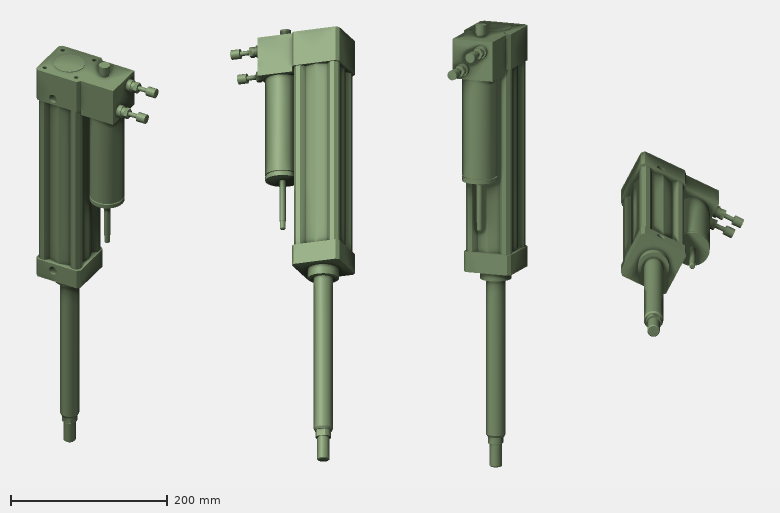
import cadquery as cq
import math


SQUARE = 65.0
CORNER_CHAMFER = 4.0
HEAD_HEIGHT = 46.0
CAP_TOP = -290.0
CAP_HEIGHT = 26.5
CAP_BOTTOM = CAP_TOP - CAP_HEIGHT

DISC_DIAMETER = 40.0
DISC_HEIGHT = 1.0
SCREW_DIAMETER = 6.0
SCREW_SPACING = 46.5
SCREW_DEPTH = 15.0
PORT_DIAMETER = 11.5
PORT_DEPTH = 12.0
DRILL_POINT_ANGLE = 118.0
PORT_X = -6.0
PORT_EDGE_DISTANCE = 9.0
CAP_PORT_DROP = 10.5

TUBE_HALF = 30.5
TUBE_CHAMFER = 4.5
GROOVE_OUTER = 20.5
GROOVE_DEPTH = 5.8
RIDGE_RISE = 4.0

BLOCK_WIDTH = 55.0
BLOCK_HEIGHT = 52.0
BLOCK_END = 80.0

MOTOR_X = 55.5
KNOB_X = 51.5
KNOB_DIAMETER = 14.0
KNOB_TOP = 15.0
KNOB_NECK_DIAMETER = 12.0
KNOB_NECK_HEIGHT = 4.2

MOTOR_DIAMETER = 45.0
MOTOR_BOTTOM = -189.0
MOTOR_GROOVE_DIAMETER = 41.0
MOTOR_GROOVE_TOP = -182.0
MOTOR_END_HEIGHT = 5.5
SHAFT_DIAMETER = 8.0
SHAFT_TIP_DIAMETER = 7.5
SHAFT_TIP_LENGTH = 11.0
SHAFT_BOTTOM = -255.0
SHAFT_CHAMFER = 1.0

BOSS_DIAMETER = 40.0
BOSS_HEIGHT = 12.5
BOSS_BOTTOM = CAP_BOTTOM - BOSS_HEIGHT
ROD_DIAMETER = 25.0
ROD_SHOULDER = -536.5
ROD_CHAMFER_DIAMETER = 22.0
ROD_CHAMFER_HEIGHT = 3.0
WRENCH_DIAMETER = 20.0
WRENCH_FLATS = 17.0
WRENCH_BOTTOM = -545.5
NECK_DIAMETER = 14.5
NECK_HEIGHT = 1.5
THREAD_DIAMETER = 16.0
THREAD_BOTTOM = -576.0
THREAD_CHAMFER = 1.0

CONNECTOR_OFFSET = 12.5
COLLAR_DIAMETER = 16.0
COLLAR_LENGTH = 6.0
SLEEVE_DIAMETER = 13.0
SLEEVE_LENGTH = 4.5
NUT_CORNERS = 14.5
NUT_LENGTH = 4.5
CABLE_DIAMETER = 6.0
PLUG_DIAMETER = 12.5
PLUG_LENGTH = 12.0
CONNECTOR_END = 120.5


def cylinder(x, diameter, z_top, z_bottom):
    """Vertical cylinder on the plane Y = 0."""
    return (
        cq.Workplane("XY", origin=(x, 0, z_bottom))
        .circle(diameter / 2)
        .extrude(z_top - z_bottom)
    )


def square_block(z_top, height):
    """Square block on the piston axis with chamfered vertical corners."""
    return (
        cq.Workplane("XY", origin=(0, 0, z_top - height))
        .rect(SQUARE, SQUARE)
        .extrude(height)
        .edges("|Z")
        .chamfer(CORNER_CHAMFER)
    )


def tube():
    """Profiled tube: each side has two V grooves around a shallow ridge."""
    flat_end = TUBE_HALF - TUBE_CHAMFER
    groove_bottom = GROOVE_OUTER - GROOVE_DEPTH
    floor = TUBE_HALF - GROOVE_DEPTH
    side = [
        (-flat_end, -TUBE_HALF),
        (-GROOVE_OUTER, -TUBE_HALF),
        (-groove_bottom, -floor),
        (0, -floor - RIDGE_RISE),
        (groove_bottom, -floor),
        (GROOVE_OUTER, -TUBE_HALF),
        (flat_end, -TUBE_HALF),
    ]
    outline = []
    for turn in range(4):
        c = round(math.cos(turn * math.pi / 2))
        s = round(math.sin(turn * math.pi / 2))
        outline += [(x * c - y * s, x * s + y * c) for x, y in side]
    length = -HEAD_HEIGHT - CAP_TOP
    return cq.Workplane("XY", origin=(0, 0, CAP_TOP)).polyline(outline).close().extrude(length)


def gear_block():
    """Block beside the head, with its top flush with the head."""
    start = SQUARE / 2
    length = BLOCK_END - start
    return (
        cq.Workplane("XY", origin=(start + length / 2, 0, -BLOCK_HEIGHT))
        .rect(length, BLOCK_WIDTH)
        .extrude(BLOCK_HEIGHT)
    )


def knob():
    neck = cylinder(KNOB_X, KNOB_NECK_DIAMETER, KNOB_NECK_HEIGHT, 0)
    return neck.union(cylinder(KNOB_X, KNOB_DIAMETER, KNOB_TOP, KNOB_NECK_HEIGHT))


def motor():
    """Motor can with a grooved lower end and a thin shaft."""
    end_top = MOTOR_BOTTOM + MOTOR_END_HEIGHT
    can = cylinder(MOTOR_X, MOTOR_DIAMETER, -BLOCK_HEIGHT, MOTOR_GROOVE_TOP)
    groove = cylinder(MOTOR_X, MOTOR_GROOVE_DIAMETER, MOTOR_GROOVE_TOP, end_top)
    end_ring = cylinder(MOTOR_X, MOTOR_DIAMETER, end_top, MOTOR_BOTTOM)
    tip_top = SHAFT_BOTTOM + SHAFT_TIP_LENGTH
    shaft = cylinder(MOTOR_X, SHAFT_DIAMETER, MOTOR_BOTTOM, tip_top)
    tip = cylinder(MOTOR_X, SHAFT_TIP_DIAMETER, tip_top, SHAFT_BOTTOM)
    tip = tip.faces("<Z").chamfer(SHAFT_CHAMFER)
    return can.union(groove).union(end_ring).union(shaft).union(tip)


def port(z):
    """Cutter for a blind port with a drill point, in the -Y side."""
    radius = PORT_DIAMETER / 2
    face = -SQUARE / 2
    bottom = face + PORT_DEPTH
    tip = bottom + radius / math.tan(math.radians(DRILL_POINT_ANGLE / 2))
    half_section = [(0, face), (radius, face), (radius, bottom), (0, tip)]
    cutter = cq.Workplane("XY").polyline(half_section).close().revolve(360, (0, 0, 0), (0, 1, 0))
    return cutter.translate((PORT_X, 0, z))


def screw_holes():
    return (
        cq.Workplane("XY")
        .rect(SCREW_SPACING, SCREW_SPACING, forConstruction=True)
        .vertices()
        .circle(SCREW_DIAMETER / 2)
        .extrude(-SCREW_DEPTH)
    )


def make_housing():
    body = square_block(0, HEAD_HEIGHT).union(square_block(CAP_TOP, CAP_HEIGHT))
    body = body.union(tube()).union(gear_block()).union(knob()).union(motor())
    body = body.union(cylinder(0, DISC_DIAMETER, DISC_HEIGHT, 0))
    body = body.union(cylinder(0, BOSS_DIAMETER, CAP_BOTTOM, BOSS_BOTTOM))
    body = body.cut(port(-HEAD_HEIGHT + PORT_EDGE_DISTANCE)).cut(port(CAP_TOP - CAP_PORT_DROP))
    return body.cut(screw_holes())


def make_rod():
    """Piston rod, turned and then milled with two wrench flats."""
    rod_r = ROD_DIAMETER / 2
    wrench_r = WRENCH_DIAMETER / 2
    neck_r = NECK_DIAMETER / 2
    thread_r = THREAD_DIAMETER / 2
    thread_top = WRENCH_BOTTOM - NECK_HEIGHT
    half_section = [
        (0, BOSS_BOTTOM),
        (rod_r, BOSS_BOTTOM),
        (rod_r, ROD_SHOULDER + ROD_CHAMFER_HEIGHT),
        (ROD_CHAMFER_DIAMETER / 2, ROD_SHOULDER),
        (wrench_r, ROD_SHOULDER),
        (wrench_r, WRENCH_BOTTOM),
        (neck_r, WRENCH_BOTTOM),
        (neck_r, thread_top),
        (thread_r, thread_top),
        (thread_r, THREAD_BOTTOM + THREAD_CHAMFER),
        (thread_r - THREAD_CHAMFER, THREAD_BOTTOM),
        (0, THREAD_BOTTOM),
    ]
    rod = cq.Workplane("XZ").polyline(half_section).close().revolve(360, (0, 0, 0), (0, 1, 0))
    flat_height = ROD_SHOULDER - WRENCH_BOTTOM
    for side in (-1, 1):
        cutter = cq.Workplane("XY").box(ROD_DIAMETER, rod_r, flat_height)
        y = side * (WRENCH_FLATS + rod_r) / 2
        rod = rod.cut(cutter.translate((0, y, WRENCH_BOTTOM + flat_height / 2)))
    return rod


def make_connector(y, z):
    """Cable connector pointing along +X from the end of the gear block."""
    nut_start = BLOCK_END + COLLAR_LENGTH + SLEEVE_LENGTH
    cable_start = nut_start + NUT_LENGTH
    plug_start = CONNECTOR_END - PLUG_LENGTH

    def plane(x):
        return cq.Workplane("YZ", origin=(x, y, z))

    collar = plane(BLOCK_END).circle(COLLAR_DIAMETER / 2).extrude(COLLAR_LENGTH)
    sleeve = plane(BLOCK_END + COLLAR_LENGTH).circle(SLEEVE_DIAMETER / 2).extrude(SLEEVE_LENGTH)
    nut = plane(nut_start).polygon(6, NUT_CORNERS).extrude(NUT_LENGTH)
    cable = plane(cable_start).circle(CABLE_DIAMETER / 2).extrude(plug_start - cable_start)
    plug = plane(plug_start).circle(PLUG_DIAMETER / 2).extrude(PLUG_LENGTH)
    return collar.union(sleeve).union(nut).union(cable).union(plug)


housing = make_housing()
rod = make_rod()
connectors = []
for side in (-1, 1):
    offset = side * CONNECTOR_OFFSET
    connectors.append(make_connector(offset, -BLOCK_HEIGHT / 2 + offset))

result = cq.Compound.makeCompound(
    [housing.val(), rod.val(), *[connector.val() for connector in connectors]]
)